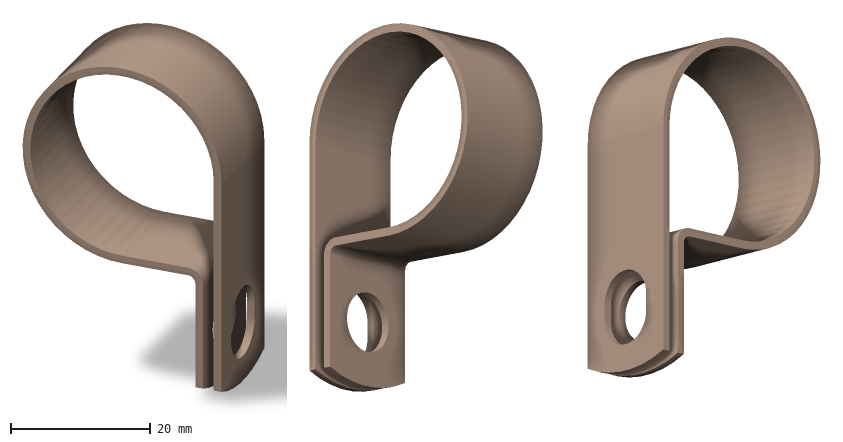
import cadquery as cq

loop_radius = 15.5
strap_thickness = 1.2
strap_width = 15.85
total_height = 50.35
leg_gap = 1.65
bend_inner_radius = 1.1
hole_diameter = 8.7
hole_drop = 40.95
slot_length = 11.0
end_arc_rise = 1.7

bore_radius = loop_radius - strap_thickness
bottom_z = loop_radius - total_height
hole_z = loop_radius - hole_drop
leg_outer_x = bore_radius - leg_gap
leg_inner_x = leg_outer_x - strap_thickness
bend_outer_radius = bend_inner_radius + strap_thickness
bend_x = leg_inner_x - bend_inner_radius
bend_z = -loop_radius - bend_inner_radius
diagonal = 0.5 ** 0.5


def bend_middle(radius):
    """Midpoint of the quarter-circle bend between the shelf and the short leg."""
    return (bend_x + radius * diagonal, bend_z + radius * diagonal)


def loop_middle(radius):
    """Midpoint of the three-quarter loop, on its upper left."""
    return (-radius * diagonal, radius * diagonal)


def bent_strap():
    """Strap of constant thickness: long leg, loop, shelf, bend and short leg."""
    return (
        cq.Workplane("XZ")
        .moveTo(loop_radius, bottom_z)
        .lineTo(loop_radius, 0)
        .threePointArc(loop_middle(loop_radius), (0, -loop_radius))
        .lineTo(bend_x, -loop_radius)
        .threePointArc(bend_middle(bend_inner_radius), (leg_inner_x, bend_z))
        .lineTo(leg_inner_x, bottom_z)
        .lineTo(leg_outer_x, bottom_z)
        .lineTo(leg_outer_x, bend_z)
        .threePointArc(bend_middle(bend_outer_radius), (bend_x, -bore_radius))
        .lineTo(0, -bore_radius)
        .threePointArc(loop_middle(bore_radius), (bore_radius, 0))
        .lineTo(bore_radius, bottom_z)
        .close()
        .extrude(strap_width / 2, both=True)
    )


def rounded_end_envelope():
    """Block around the whole strap whose bottom is one shallow arc across the width."""
    half_width = strap_width / 2
    shoulder_z = bottom_z + end_arc_rise
    return (
        cq.Workplane("YZ")
        .moveTo(-half_width, loop_radius)
        .lineTo(-half_width, shoulder_z)
        .threePointArc((0, bottom_z), (half_width, shoulder_z))
        .lineTo(half_width, loop_radius)
        .close()
        .extrude(loop_radius, both=True)
    )


def bolt_hole():
    """Round hole along X, passing through the short leg and on through the long leg."""
    return (
        cq.Workplane("YZ")
        .center(0, hole_z)
        .circle(hole_diameter / 2)
        .extrude(loop_radius)
    )


def adjustment_slot():
    """Upright slot through the long leg only, as wide as the bolt hole."""
    return (
        cq.Workplane("YZ", origin=(leg_outer_x + leg_gap, 0, hole_z))
        .slot2D(slot_length, hole_diameter, 90)
        .extrude(strap_thickness)
    )


result = (
    bent_strap()
    .intersect(rounded_end_envelope())
    .cut(bolt_hole())
    .cut(adjustment_slot())
)